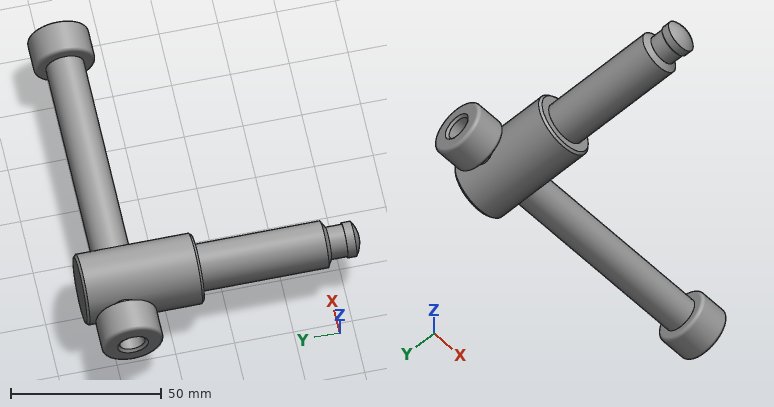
import cadquery as cq
import math

body_diameter = 24.0
body_length = 40.0
body_chamfer = 0.8

overall_depth = 95.0
pin_diameter = 16.0
neck_diameter = 11.0
tip_diameter = 12.0
neck_length = 5.5
tip_rim_length = 3.0
dome_height = 2.0
shoulder_angle = 30.0

handle_length = 120.0
body_axis_offset = 24.0
rod_diameter = 13.0
rod_offset = 13.0
cap_diameter = 20.8
cap_length = 11.8
cap_fillet = 1.2

hole_diameter = 8.6
hole_depth = cap_length
countersink_diameter = 10.5

handle_start = -body_axis_offset
body_back = rod_offset
body_front = body_back - body_length
dome_end = body_back - overall_depth


def cylinder_along_x(diameter, start, length):
    return cq.Workplane("YZ", origin=(start, 0, 0)).circle(diameter / 2).extrude(length)


def make_body():
    body = cq.Workplane("XZ", origin=(0, body_back, 0)).circle(body_diameter / 2).extrude(body_length)
    return body.faces("<Y or >Y").chamfer(body_chamfer)


def make_pin():
    pin_radius = pin_diameter / 2
    neck_radius = neck_diameter / 2
    tip_radius = tip_diameter / 2
    shoulder_length = (pin_radius - neck_radius) * math.tan(math.radians(shoulder_angle))
    rim_front = dome_end + dome_height
    rim_back = rim_front + tip_rim_length
    neck_back = rim_back + neck_length
    dome_radius = (tip_radius**2 + dome_height**2) / (2 * dome_height)
    dome_center = dome_end + dome_radius
    mid_radius = tip_radius / 2
    dome_middle = (mid_radius, dome_center - math.sqrt(dome_radius**2 - mid_radius**2))
    return (
        cq.Workplane("XY")
        .moveTo(0, body_front)
        .lineTo(pin_radius, body_front)
        .lineTo(pin_radius, neck_back + shoulder_length)
        .lineTo(neck_radius, neck_back)
        .lineTo(neck_radius, rim_back)
        .lineTo(tip_radius, rim_back)
        .lineTo(tip_radius, rim_front)
        .threePointArc(dome_middle, (0, dome_end))
        .close()
        .revolve(360, (0, 0, 0), (0, 1, 0))
    )


def make_cap(start):
    return cylinder_along_x(cap_diameter, start, cap_length).edges().fillet(cap_fillet)


def make_hole():
    hole_radius = hole_diameter / 2
    countersink_radius = countersink_diameter / 2
    countersink_end = handle_start + countersink_radius - hole_radius
    hole_end = handle_start + hole_depth
    return (
        cq.Workplane("XY")
        .moveTo(handle_start, 0)
        .lineTo(handle_start, countersink_radius)
        .lineTo(countersink_end, hole_radius)
        .lineTo(hole_end, hole_radius)
        .lineTo(hole_end, 0)
        .close()
        .revolve(360, (0, 0, 0), (1, 0, 0))
    )


rod = cylinder_along_x(rod_diameter, handle_start + cap_length / 2, handle_length - cap_length)
result = make_body().union(make_pin()).union(rod)
for cap_start in (handle_start, handle_start + handle_length - cap_length):
    result = result.union(make_cap(cap_start))
result = result.cut(make_hole())